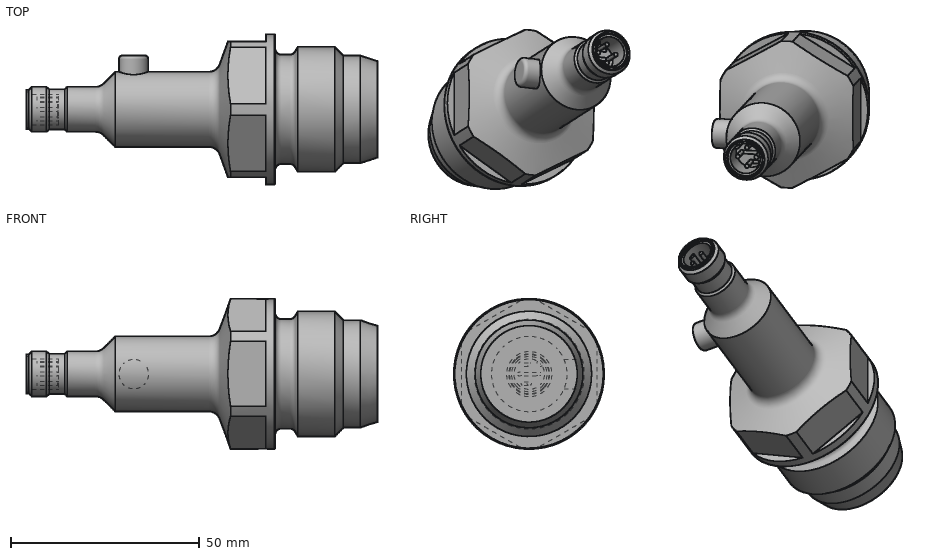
import cadquery as cq
import math


rim_diameter = 10.4
plug_diameter = 12.0
plug_groove_diameter = 10.8
barrel_diameter = 20.0
flange_diameter = 40.0
neck_diameter = 29.2
ring_diameter = 33.3
nose_diameter = 28.6
nose_end_diameter = 25.6

rim_end = 0.65
plug_groove_start = 5.2
plug_groove_lead_in = 0.8
plug_groove_end = 10.8
plug_end = 18.4
barrel_end = 48.5
flange_start = 63.6
flange_end = 66.1
neck_end = 70.0
ring_end = 81.8
nose_taper_start = 88.6
total_length = 93.2

turned_fillet = 3.0
neck_fillet = 1.5
flange_edge_chamfer = 0.3
barrel_cone_angle = 45.0
hex_cone_angle = 70.0
ring_cone_angle = 60.0

across_flats = 36.1

stud_diameter = 7.8
stud_x = 28.4
stud_top = 14.35
stud_fillet = 1.0

socket_mouth_diameter = 9.4
socket_mouth_depth = 0.65
socket_diameter = 8.1
socket_depth = 8.4
pin_diameter = 1.1
pin_offset = 2.5
pin_tip_depth = 2.8
key_radius = 0.8
floor_rib_width = 0.9
floor_rib_height = 0.3
short_rib_reach = 1.7


def concave_blend(x, radius, blend_radius, angle):
    """Mid and end points of an arc that starts along X and turns outwards by the angle in degrees."""
    points = []
    for turn in (math.radians(angle / 2), math.radians(angle)):
        points.append((x + blend_radius * math.sin(turn), radius + blend_radius * (1 - math.cos(turn))))
    return points


def cone_end(start, radius, angle):
    """Point where a cone leaving the start point at the angle in degrees reaches the radius."""
    return (start[0] + (radius - start[1]) / math.tan(math.radians(angle)), radius)


def make_turned_body():
    rim_radius = rim_diameter / 2
    plug_radius = plug_diameter / 2
    groove_radius = plug_groove_diameter / 2
    barrel_radius = barrel_diameter / 2
    flange_radius = flange_diameter / 2
    neck_radius = neck_diameter / 2
    ring_radius = ring_diameter / 2
    nose_radius = nose_diameter / 2

    groove_depth = plug_radius - groove_radius
    plug_blend = concave_blend(plug_end, plug_radius, turned_fillet, barrel_cone_angle)
    barrel_blend = concave_blend(barrel_end, barrel_radius, turned_fillet, hex_cone_angle)
    ring_blend = concave_blend(neck_end, neck_radius, neck_fillet, ring_cone_angle)
    quarter_turn_rest = neck_fillet * (1 - math.sqrt(0.5))

    return (
        cq.Workplane("XY")
        .moveTo(0, 0)
        .lineTo(0, rim_radius)
        .lineTo(rim_end, rim_radius)
        .lineTo(rim_end + plug_radius - rim_radius, plug_radius)
        .lineTo(plug_groove_start, plug_radius)
        .lineTo(plug_groove_start + plug_groove_lead_in, groove_radius)
        .lineTo(plug_groove_end - groove_depth, groove_radius)
        .lineTo(plug_groove_end, plug_radius)
        .lineTo(plug_end, plug_radius)
        .threePointArc(*plug_blend)
        .lineTo(*cone_end(plug_blend[-1], barrel_radius, barrel_cone_angle))
        .lineTo(barrel_end, barrel_radius)
        .threePointArc(*barrel_blend)
        .lineTo(*cone_end(barrel_blend[-1], flange_radius, hex_cone_angle))
        .lineTo(flange_end - flange_edge_chamfer, flange_radius)
        .lineTo(flange_end, flange_radius - flange_edge_chamfer)
        .lineTo(flange_end, neck_radius + neck_fillet)
        .threePointArc(
            (flange_end + quarter_turn_rest, neck_radius + quarter_turn_rest),
            (flange_end + neck_fillet, neck_radius),
        )
        .lineTo(neck_end, neck_radius)
        .threePointArc(*ring_blend)
        .lineTo(*cone_end(ring_blend[-1], ring_radius, ring_cone_angle))
        .lineTo(ring_end, ring_radius)
        .lineTo(ring_end + ring_radius - nose_radius, nose_radius)
        .lineTo(nose_taper_start, nose_radius)
        .lineTo(total_length, nose_end_diameter / 2)
        .lineTo(total_length, 0)
        .close()
        .revolve(360, (0, 0, 0), (1, 0, 0))
    )


def make_hex_waste():
    """Material outside the hexagon, between the barrel and the flange."""
    length = flange_start - barrel_end
    across_corners = across_flats / math.cos(math.pi / 6)
    blank = cq.Workplane("YZ").workplane(offset=barrel_end).circle(flange_diameter).extrude(length)
    hexagon = (
        cq.Workplane("YZ")
        .workplane(offset=barrel_end)
        .transformed(rotate=(0, 0, 90))
        .polygon(6, across_corners)
        .extrude(length)
    )
    return blank.cut(hexagon)


def make_stud():
    return (
        cq.Workplane("XZ")
        .center(stud_x, 0)
        .circle(stud_diameter / 2)
        .extrude(-stud_top)
        .faces(">Y")
        .edges()
        .fillet(stud_fillet)
    )


def make_socket_bore():
    mouth = cq.Workplane("YZ").circle(socket_mouth_diameter / 2).extrude(socket_mouth_depth)
    return mouth.union(cq.Workplane("YZ").circle(socket_diameter / 2).extrude(socket_depth))


def make_contacts():
    """Four pins standing on the socket floor."""
    return (
        cq.Workplane("YZ")
        .workplane(offset=pin_tip_depth)
        .polarArray(pin_offset, 0, 360, 4)
        .circle(pin_diameter / 2)
        .extrude(socket_depth - pin_tip_depth)
    )


def make_floor_ribs():
    """Low ribs with round ends: one joins the two Y pins, the others run from the Z pins towards -Y."""
    floor = cq.Workplane("YZ").workplane(offset=socket_depth - floor_rib_height)
    ribs = floor.slot2D(2 * pin_offset + floor_rib_width, floor_rib_width).extrude(floor_rib_height)
    short_ribs = (
        floor.pushPoints([(-short_rib_reach / 2, side * pin_offset) for side in (-1, 1)])
        .slot2D(short_rib_reach + floor_rib_width, floor_rib_width)
        .extrude(floor_rib_height)
    )
    return ribs.union(short_ribs)


def make_key():
    """Round coding key on the socket wall, midway between the +Y and +Z pins."""
    key_centre = socket_diameter / 2 * math.sqrt(0.5)
    return (
        cq.Workplane("YZ")
        .workplane(offset=pin_tip_depth)
        .center(key_centre, key_centre)
        .circle(key_radius)
        .extrude(socket_depth - pin_tip_depth)
    )


body = make_turned_body().cut(make_hex_waste()).union(make_stud())
body = body.cut(make_socket_bore())
result = body.union(make_floor_ribs()).union(make_contacts()).union(make_key())